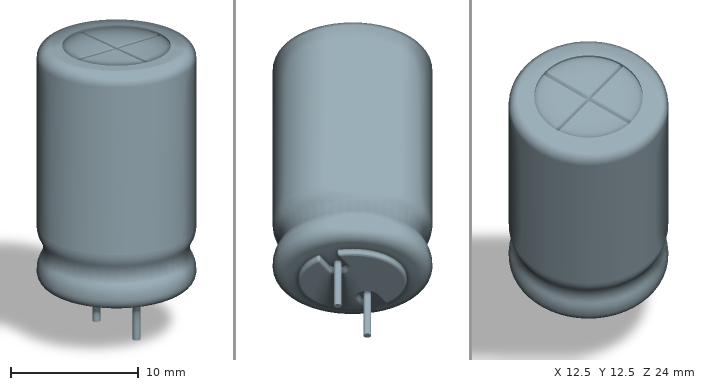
import cadquery as cq
import math


total_height = 24.0
can_diameter = 12.5
can_radius = can_diameter / 2
can_bottom = 4.0
can_edge_radius = 1.0

neck_height = 7.0
neck_depth = 0.5
neck_shoulder_radius = 2.0
neck_waist_radius = 1.5

recess_radius = 4.25
recess_depth = 0.2
vent_top_width = 0.4
vent_floor_width = 0.1
vent_depth = 0.12

seal_radius = recess_radius
seal_thickness = 0.5
seal_edge_radius = 0.25
notch_width = 1.54
notch_mouth_radius = 0.17

lead_diameter = 0.6
lead_pitch = 5.0
lead_positions = [(-lead_pitch / 2, 0), (lead_pitch / 2, 0)]


def make_can():
    """Revolve the can profile: rounded ends and a neck of tangent arcs."""
    arc_radii = neck_shoulder_radius + neck_waist_radius
    turn = math.acos(1 - neck_depth / arc_radii)
    neck_half_height = arc_radii * math.sin(turn)

    def shoulder_point(angle, side):
        radius = can_radius - neck_shoulder_radius * (1 - math.cos(angle))
        height = neck_half_height - neck_shoulder_radius * math.sin(angle)
        return (radius, neck_height + side * height)

    corner_inset = can_edge_radius * (1 - math.sqrt(0.5))
    flat_radius = can_radius - can_edge_radius
    corner_radius = can_radius - corner_inset
    profile = (
        cq.Workplane("XZ")
        .moveTo(0, can_bottom)
        .lineTo(flat_radius, can_bottom)
        .threePointArc(
            (corner_radius, can_bottom + corner_inset),
            (can_radius, can_bottom + can_edge_radius),
        )
        .lineTo(*shoulder_point(0, -1))
        .threePointArc(shoulder_point(turn / 2, -1), shoulder_point(turn, -1))
        .threePointArc((can_radius - neck_depth, neck_height), shoulder_point(turn, 1))
        .threePointArc(shoulder_point(turn / 2, 1), shoulder_point(0, 1))
        .lineTo(can_radius, total_height - can_edge_radius)
        .threePointArc(
            (corner_radius, total_height - corner_inset),
            (flat_radius, total_height),
        )
        .lineTo(0, total_height)
        .close()
    )
    return profile.revolve(360, (0, 0, 0), (0, 1, 0))


def make_top_recess():
    """Volume removed from the top: the round recess and its crossing grooves."""
    floor = total_height - recess_depth
    recess = cq.Workplane("XY").workplane(offset=floor).circle(recess_radius).extrude(recess_depth)
    groove = (
        cq.Workplane("XZ", origin=(0, 0, floor))
        .polyline([
            (-vent_top_width / 2, 0),
            (vent_top_width / 2, 0),
            (vent_floor_width / 2, -vent_depth),
            (-vent_floor_width / 2, -vent_depth),
        ])
        .close()
        .extrude(recess_radius, both=True)
    )
    crossing_groove = groove.rotate((0, 0, 0), (0, 0, 1), 90)
    groove_limit = (
        cq.Workplane("XY")
        .workplane(offset=floor - vent_depth)
        .circle(recess_radius)
        .extrude(vent_depth)
    )
    return recess.union(groove.union(crossing_groove).intersect(groove_limit))


def make_seal():
    """Disc under the can with a round-ended notch from the rim to each lead."""
    seal_bottom = can_bottom - seal_thickness
    base = cq.Workplane("XY").workplane(offset=seal_bottom)
    seal = base.circle(seal_radius).extrude(seal_thickness)
    notch_length = lead_pitch + notch_width
    for x, y in lead_positions:
        notch = base.center(2 * x, y).slot2D(notch_length, notch_width).extrude(seal_thickness)
        seal = seal.cut(notch)

    mouth_x = math.sqrt(seal_radius**2 - (notch_width / 2) ** 2)
    for x_side in (-1, 1):
        for y_side in (-1, 1):
            corner = (x_side * mouth_x, y_side * notch_width / 2, can_bottom - seal_thickness / 2)
            seal = seal.edges(cq.NearestToPointSelector(corner)).fillet(notch_mouth_radius)
    return seal.faces("<Z").edges().fillet(seal_edge_radius)


def make_leads():
    """Two round leads from the underside of the can down to Z = 0."""
    return cq.Workplane("XY").pushPoints(lead_positions).circle(lead_diameter / 2).extrude(can_bottom)


result = make_can().cut(make_top_recess()).union(make_seal()).union(make_leads())